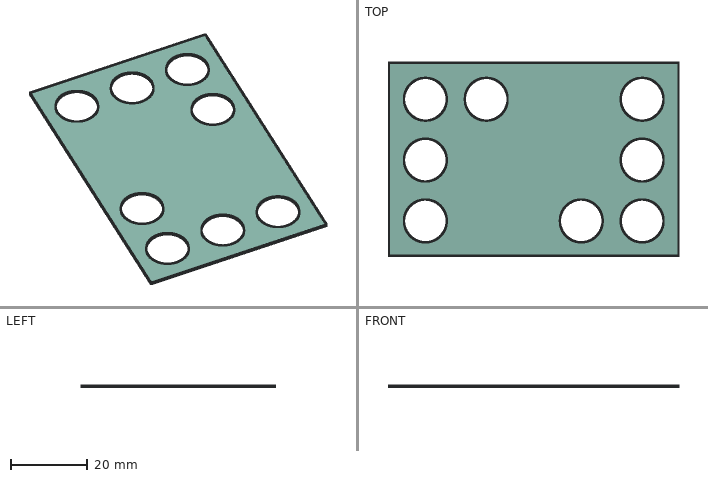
import cadquery as cq

length = 76.2
width = 50.8
thickness = 0.5

hole_diameter = 11.2
hole_pitch = 16.0
column_x = 28.5
middle_row_y = -0.2

side_holes = [
    (side * column_x, middle_row_y + row * hole_pitch)
    for side in (-1, 1)
    for row in (-1, 0, 1)
]

inner_x = column_x - hole_pitch
inner_holes = [
    (-inner_x, middle_row_y + hole_pitch),
    (inner_x, middle_row_y - hole_pitch),
]

plate = cq.Workplane("XY").box(length, width, thickness)
result = plate.faces(">Z").workplane().pushPoints(side_holes + inner_holes).hole(hole_diameter)